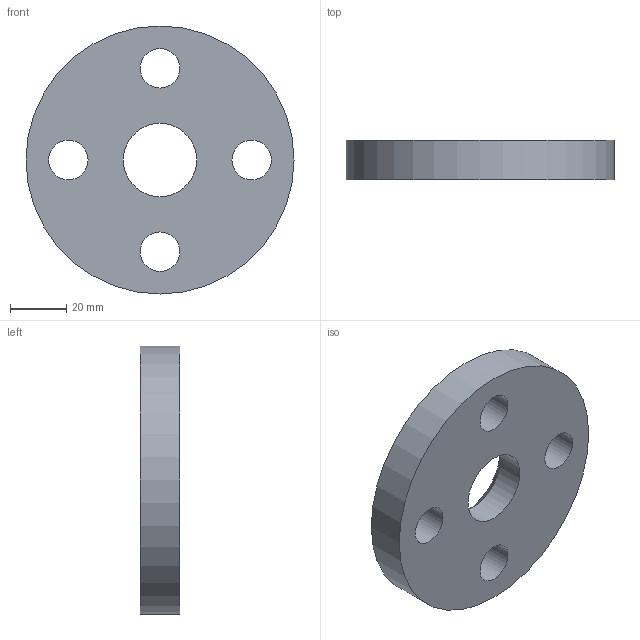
import cadquery as cq

outer_diameter = 95.0
thickness = 14.0

bore_diameter = 26.0
bore_chamfer = 4.0

bolt_circle_diameter = 65.0
bolt_hole_diameter = 14.0
bolt_hole_count = 4


def front_plane():
    """Workplane on the -Y face; extrusions run from it towards +Y."""
    return cq.Workplane(cq.Plane(origin=(0, -thickness / 2, 0), xDir=(0, 0, 1), normal=(0, 1, 0)))


def make_disc():
    """Plain disc with faces normal to Y."""
    return front_plane().circle(outer_diameter / 2).extrude(thickness)


def make_bore():
    """Cylinder that clears the central bore."""
    return front_plane().circle(bore_diameter / 2).extrude(thickness)


def make_bolt_holes():
    """Equally spaced through holes, the first one on the +Z axis."""
    return (
        front_plane()
        .polarArray(bolt_circle_diameter / 2, 0, 360, bolt_hole_count)
        .circle(bolt_hole_diameter / 2)
        .extrude(thickness)
    )


def chamfer_bore(body):
    """Break the +Y rim of the bore at 45 degrees."""
    rim = cq.selectors.RadiusNthSelector(0)
    return body.faces(">Y").edges(rim).chamfer(bore_chamfer)


bored_disc = make_disc().cut(make_bore())
chamfered_disc = chamfer_bore(bored_disc)
result = chamfered_disc.cut(make_bolt_holes())